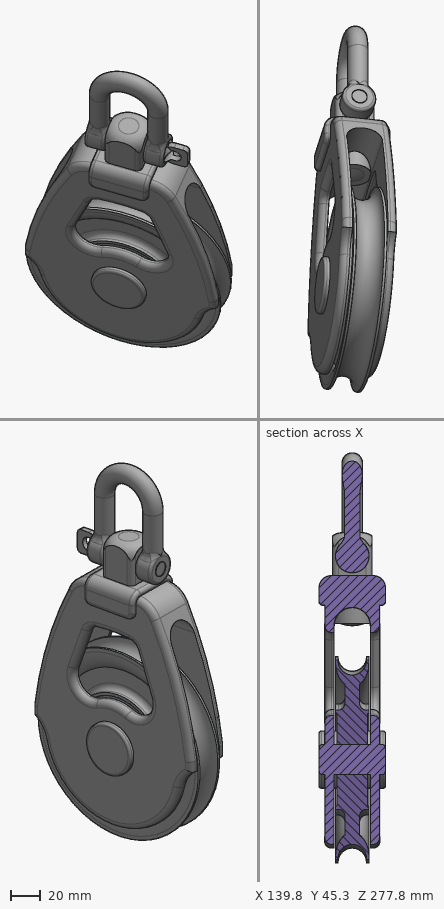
import cadquery as cq
import math


sheave_radius = 69.895
rim_half_width = 11.4
groove_radius = 9.6
groove_bottom_radius = 60.0
dish_outer_radius = 67.0
dish_inner_radius = 53.5
web_half_width = 5.0
hub_foot_radius = 42.0
hub_rim_radius = 37.6
hub_shoulder_half_width = 9.2
hub_sweep_depth = 0.8
hub_recess_radius = 70.6 / 2
hub_recess_depth = 1.0
axle_radius = 39.0 / 2

overall_width = 45.3
frame_half_width = 18.75
slot_half_width = 12.2
frame_edge_fillet = 4.8
frame_top = 121.0
shoulder_radius = 20.5
shoulder_center_x = 20.3
shoulder_end_angle = math.radians(27)
cheek_half_span = 69.2
cheek_side_end_z = 10.7
cheek_bottom_radius = 60.0
cheek_flare_radius = 23.0
cheek_flare_angle = math.radians(-12)
axle_edge_fillet = 1.9

slot_apex_z = 103.0
slot_arch_z = slot_apex_z - slot_half_width

window_rim_radius = 34.0
window_lower_radius = 14.2
window_lower_angle = math.radians(65.8)
window_upper_radius = 8.1
window_upper_x = 13.8
window_upper_z = 78.3
window_top_arc_radius = 125.0

strap_half_length = 21.5
strap_top = 124.9
strap_bottom = 104.5
strap_bend_radius = 8.5
strap_corner_radius = 5.6
strap_edge_fillet = 2.9

head_width = 26.8
head_corner_radius = 4.1
head_top = 153.9
head_dome_radius = 10.3
head_round_radius = head_width / math.sqrt(2) - head_corner_radius * (math.sqrt(2) - 1)

nut_radius = 13.0
nut_bottom = 92.2
nut_dome_radius = 8.0
nut_dome_height = 1.5

wire_radius = 14.0 / 2
bow_radius = 21.0
bow_center_z = 179.95
pin_z = 138.0
eye_radius = 11.5
eye_half_length = 7.05
eye_edge_fillet = 2.0
leg_root_fillet = 8.0
match_tolerance = 0.01
eye_bore_radius = 10.5 / 2
pin_recess_depth = 0.5
tab_end_x = 43.2
tab_half_height = 9.0
tab_half_thickness = 2.1
pin_cone_radius = 8.4
pin_cone_end_x = 34.7
tab_corner_radius = 3.5
tab_hole_radius = 10.11 / 2
tab_hole_x = 33.4


def polar(radius, angle):
    return radius * math.cos(angle), radius * math.sin(angle)


def mirrored(point):
    """The same point on the other side of the YZ plane."""
    return -point[0], point[1]


def along_y(outline, half_width):
    """Extrude an XZ outline evenly to both sides of the mid plane."""
    return outline.extrude(half_width, both=True)


def box_between(x_half, y_half, z_low, z_high):
    return (
        cq.Workplane("XY")
        .workplane(offset=z_low)
        .rect(2 * x_half, 2 * y_half)
        .extrude(z_high - z_low)
    )


def make_sheave():
    dish_mid_radius = (dish_outer_radius + dish_inner_radius) / 2

    dish_run = dish_outer_radius - dish_inner_radius
    dish_depth = rim_half_width - web_half_width
    dish_arc_radius = (dish_run**2 + dish_depth**2) / (2 * dish_depth)

    def dish_half_width(radius):
        drop = dish_arc_radius - math.sqrt(dish_arc_radius**2 - (dish_outer_radius - radius) ** 2)
        return rim_half_width - drop

    dish_middle = (dish_mid_radius, dish_half_width(dish_mid_radius))
    recess = rim_half_width - hub_recess_depth
    hub_sweep_middle = (
        (hub_foot_radius + hub_rim_radius) / 2 - hub_sweep_depth,
        (web_half_width + hub_shoulder_half_width) / 2 - hub_sweep_depth,
    )
    half = (
        cq.Workplane("XY")
        .moveTo(axle_radius, 0)
        .lineTo(axle_radius, recess)
        .lineTo(hub_recess_radius, recess)
        .lineTo(hub_recess_radius, rim_half_width)
        .lineTo(hub_rim_radius, rim_half_width)
        .lineTo(hub_rim_radius, hub_shoulder_half_width)
        .threePointArc(hub_sweep_middle, (hub_foot_radius, web_half_width))
        .lineTo(dish_inner_radius, web_half_width)
        .threePointArc(dish_middle, (dish_outer_radius, rim_half_width))
        .lineTo(sheave_radius, rim_half_width)
        .lineTo(sheave_radius, 0)
        .close()
        .revolve(360, (0, 0, 0), (0, 1, 0))
    )
    groove_center_radius = groove_bottom_radius + groove_radius
    groove = (
        cq.Workplane("XY")
        .center(groove_center_radius, 0)
        .circle(groove_radius)
        .revolve(360, (-groove_center_radius, 0, 0), (-groove_center_radius, 1, 0))
    )
    return half.union(half.mirror("XZ")).cut(groove)


def frame_outline():
    shoulder_center_z = frame_top - shoulder_radius
    end_x, end_z = polar(shoulder_radius, shoulder_end_angle)
    mid_x, mid_z = polar(shoulder_radius, (shoulder_end_angle + math.pi / 2) / 2)
    shoulder_end = (shoulder_center_x + end_x, shoulder_center_z + end_z)
    shoulder_mid = (shoulder_center_x + mid_x, shoulder_center_z + mid_z)

    flare_x, flare_z = polar(cheek_bottom_radius + cheek_flare_radius, cheek_flare_angle)
    flare_end = polar(cheek_bottom_radius, cheek_flare_angle)
    flare_start_angle = math.acos((cheek_half_span - flare_x) / cheek_flare_radius)
    flare_mid_angle = (flare_start_angle + math.pi + cheek_flare_angle) / 2

    def flare_point(angle):
        dx, dz = polar(cheek_flare_radius, angle)
        return flare_x + dx, flare_z + dz

    start = flare_point(flare_start_angle)
    middle = flare_point(flare_mid_angle)

    side_mid = cheek_side_middle(shoulder_end)
    side_end = (cheek_half_span, cheek_side_end_z)
    return (
        cq.Workplane("XZ")
        .moveTo(-shoulder_center_x, frame_top)
        .lineTo(shoulder_center_x, frame_top)
        .threePointArc(shoulder_mid, shoulder_end)
        .threePointArc(side_mid, side_end)
        .lineTo(*start)
        .threePointArc(middle, flare_end)
        .threePointArc((0, -cheek_bottom_radius), mirrored(flare_end))
        .threePointArc(mirrored(middle), mirrored(start))
        .lineTo(*mirrored(side_end))
        .threePointArc(mirrored(side_mid), mirrored(shoulder_end))
        .threePointArc(mirrored(shoulder_mid), (-shoulder_center_x, frame_top))
        .close()
    )


def cheek_side_middle(shoulder_end):
    """Middle of the arc that leaves the shoulder tangentially and ends at the widest point."""
    dx = cheek_half_span - shoulder_end[0]
    dz = cheek_side_end_z - shoulder_end[1]
    chord = math.hypot(dx, dz)
    half_turn = shoulder_end_angle - math.atan2(dx, -dz)
    bulge = chord / 2 * math.tan(half_turn / 2)
    return (
        shoulder_end[0] + dx / 2 - dz / chord * bulge,
        shoulder_end[1] + dz / 2 + dx / chord * bulge,
    )


def window_outline():
    lower_x, lower_z = polar(window_rim_radius + window_lower_radius, window_lower_angle)
    run = math.hypot(lower_x - window_upper_x, window_upper_z - lower_z)
    lean = math.atan2(lower_x - window_upper_x, window_upper_z - lower_z)
    side_angle = lean + math.asin((window_lower_radius - window_upper_radius) / run)

    def upper(angle):
        dx, dz = polar(window_upper_radius, angle)
        return window_upper_x + dx, window_upper_z + dz

    def lower(angle):
        dx, dz = polar(window_lower_radius, angle)
        return lower_x + dx, lower_z + dz

    rim_touch_angle = window_lower_angle - math.pi
    top_angle = math.acos(window_upper_x / (window_top_arc_radius - window_upper_radius))
    top_center_z = window_upper_z - window_upper_x * math.tan(top_angle)
    top_middle = (0, top_center_z + window_top_arc_radius)
    top_end = upper(top_angle)
    upper_mid = upper((side_angle + top_angle) / 2)
    side_top = upper(side_angle)
    side_low = lower(side_angle)
    lower_mid = lower((side_angle + rim_touch_angle) / 2)
    lower_end = lower(rim_touch_angle)
    return (
        cq.Workplane("XZ")
        .moveTo(*mirrored(top_end))
        .threePointArc(top_middle, top_end)
        .threePointArc(upper_mid, side_top)
        .lineTo(*side_low)
        .threePointArc(lower_mid, lower_end)
        .threePointArc((0, window_rim_radius), mirrored(lower_end))
        .threePointArc(mirrored(lower_mid), mirrored(side_low))
        .lineTo(*mirrored(side_top))
        .threePointArc(mirrored(upper_mid), mirrored(top_end))
        .close()
    )


def make_slot():
    """Space between the cheeks, open to both sides and below, with a full round top."""
    reach = 2 * cheek_half_span
    return (
        cq.Workplane("YZ")
        .moveTo(-slot_half_width, -reach)
        .lineTo(slot_half_width, -reach)
        .lineTo(slot_half_width, slot_arch_z)
        .threePointArc((0, slot_apex_z), (-slot_half_width, slot_arch_z))
        .close()
        .extrude(reach, both=True)
    )


def make_frame():
    body = along_y(frame_outline(), frame_half_width).cut(along_y(window_outline(), overall_width))
    body = body.faces("<Y or >Y").edges().fillet(frame_edge_fillet)
    axle = along_y(cq.Workplane("XZ").circle(axle_radius), overall_width / 2)
    axle = axle.faces("<Y or >Y").edges().fillet(axle_edge_fillet)
    return body.cut(make_slot()).union(axle)


def make_strap():
    strap = box_between(strap_half_length, overall_width / 2, strap_bottom, strap_top)
    strap = strap.edges("|Y and <Z").fillet(strap_corner_radius)
    strap = strap.edges("|X and >Z").fillet(strap_bend_radius)
    return strap.faces("<Y or >Y").edges("not >Z").fillet(strap_edge_fillet)


def make_head():
    head = box_between(head_width / 2, head_width / 2, strap_bottom, head_top)
    head = head.edges("|Z").fillet(head_corner_radius)
    dome = cq.Workplane("XY").workplane(offset=strap_bottom)
    dome = dome.circle(head_round_radius).extrude(head_top - strap_bottom)
    return head.intersect(dome.faces(">Z").edges().fillet(head_dome_radius))


def make_nut():
    """Round nut with a shallow dome below, kept within the width of the slot."""
    dome_bottom = nut_bottom - nut_dome_height
    dome_sphere_radius = (nut_dome_radius**2 + nut_dome_height**2) / (2 * nut_dome_height)
    dome = cq.Workplane("XY", origin=(0, 0, dome_bottom + dome_sphere_radius)).sphere(dome_sphere_radius)
    dome = dome.intersect(box_between(nut_dome_radius, nut_dome_radius, dome_bottom, nut_bottom))
    nut = cq.Workplane("XY", origin=(0, 0, nut_bottom)).circle(nut_radius).extrude(strap_bottom - nut_bottom)
    nut = nut.union(dome)
    return nut.intersect(box_between(nut_radius, slot_half_width, 0, strap_top))


def make_leg():
    """One straight leg with its eye, the eye at the origin and the leg along +Z."""
    eye = cq.Workplane("YZ").circle(eye_radius).extrude(eye_half_length, both=True)
    eye = eye.edges().fillet(eye_edge_fillet)
    leg = eye.union(cq.Workplane("XY").circle(wire_radius).extrude(bow_center_z - pin_z))

    def on_leg_root(edge):
        middle = edge.positionAt(0.5)
        on_leg = abs(math.hypot(middle.x, middle.y) - wire_radius) < match_tolerance
        return on_leg and 0 < middle.z < eye_radius

    root_edges = [edge for edge in leg.edges().vals() if on_leg_root(edge)]
    return leg.newObject(root_edges).fillet(leg_root_fillet)


def make_shackle():
    shackle = (
        cq.Workplane("XY", origin=(bow_radius, 0, bow_center_z))
        .circle(wire_radius)
        .revolve(180, (-bow_radius, 0, 0), (-bow_radius, -1, 0))
    )
    leg = make_leg()
    for side in (-1, 1):
        shackle = shackle.union(leg.translate((side * bow_radius, 0, pin_z)))
    eye_end_x = bow_radius + eye_half_length
    recess = cq.Workplane("YZ", origin=(-eye_end_x, 0, pin_z)).circle(eye_bore_radius)
    recess = recess.extrude(pin_recess_depth)
    pin = cq.Workplane("YZ", origin=(-bow_radius, 0, pin_z)).circle(eye_bore_radius).extrude(2 * bow_radius)
    return shackle.cut(recess).union(pin).union(make_pin_tab())


def make_pin_tab():
    """Flat grip with a finger hole, joined to the eye by a cone."""
    root_x = bow_radius + wire_radius - eye_edge_fillet
    disc = cq.Workplane("XZ", origin=(tab_hole_x, 0, pin_z)).circle(tab_half_height)
    disc = along_y(disc, tab_half_thickness)
    plate = along_y(
        cq.Workplane("XZ", origin=((tab_hole_x + tab_end_x) / 2, 0, pin_z)).rect(
            tab_end_x - tab_hole_x, 2 * tab_half_height
        ),
        tab_half_thickness,
    )
    plate = plate.edges("|Y and >X").fillet(tab_corner_radius).union(disc)
    cone = (
        cq.Workplane("XY", origin=(0, 0, pin_z))
        .moveTo(root_x, 0)
        .lineTo(root_x, pin_cone_radius)
        .lineTo(bow_radius + wire_radius, pin_cone_radius)
        .lineTo(pin_cone_end_x, tab_half_thickness)
        .lineTo(pin_cone_end_x, 0)
        .close()
        .revolve(360, (0, 0, 0), (1, 0, 0))
    )
    hole = cq.Workplane("XZ", origin=(tab_hole_x, 0, pin_z)).circle(tab_hole_radius)
    return plate.union(cone).cut(along_y(hole, overall_width))


sheave = make_sheave()
block = make_frame().union(make_strap()).union(make_head()).union(make_nut()).union(make_shackle())
result = cq.Compound.makeCompound([*block.vals(), *sheave.vals()])